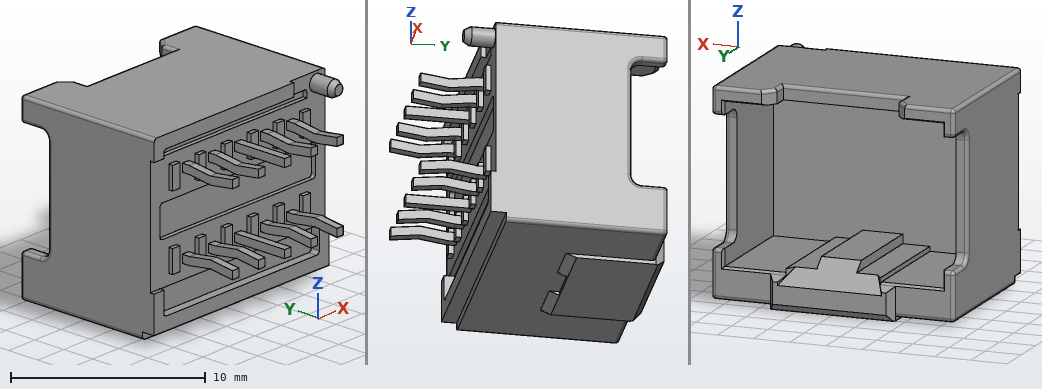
import cadquery as cq
import math


WIDTH = 13.4
HEIGHT = 11.3
FRONT_Y = 9.25
BACK_Y = 0.27
SIDE_WALL = 0.65
TOP_WALL = 0.8
BOTTOM_WALL = 1.74
CAVITY_FLOOR_Y = 2.3
EDGE_RADIUS = 0.2
RIM_RADIUS = 0.198
MOUTH_BEVEL_DEPTH = 0.22
MOUTH_BEVEL_WIDTH = 0.1
TOLERANCE = 0.01

TOP_FOOT_HEIGHT = 1.3
TOP_FOOT_RIGHT_X = 4.0
BOTTOM_FOOT_TOP_Z = 2.75
BOTTOM_STEP_HEIGHT = 0.45
BOTTOM_STEP_Y = 0.8

RECESS_FLOOR_Y = 0.55
RECESS_HALF_WIDTH = 5.95
RECESS_CORNER_RADIUS = 0.2
TOP_RECESS_RIGHT_X = 5.3
TOP_RECESS_HEIGHT = 0.5
MIDDLE_RECESS_HEIGHT = 2.02
BOTTOM_RECESS_HEIGHT = 1.47

SIDE_OPENING_Y = 7.35
SIDE_OPENING_BOTTOM_Z = 2.7
SIDE_OPENING_TOP_Z = 9.78
SIDE_OPENING_RADIUS = 0.55
NOTCH_HALF_WIDTH = 3.36
NOTCH_Y = 7.67
NOTCH_FLARE_Y = 8.55
NOTCH_FLARE = 0.6

PITCH = 2.0
CONTACTS_PER_ROW = 5
ROW_MIDDLE_Z = 6.43
ROW_SPACING = 5.02
PIN_SIZE = 0.5
PIN_LENGTH = 3.2
PIN_STRAIGHT = 0.22
PIN_BEND_Y = -1.67
PIN_BEND_OFFSET = 0.2
RIB_WIDTH = 0.57
RIB_HEIGHT = 1.43
RIB_SPACING = 4.6

PEG_X = 6.0
PEG_Z = HEIGHT - 0.65
PEG_DIAMETER = 1.0
PEG_LENGTH = 1.3
PEG_TIP_LENGTH = 0.35
PEG_TIP_DIAMETER = 0.62

LATCH_HALF_WIDTH = 3.45
LATCH_NOSE_HALF_WIDTH = 3.13
LATCH_NOSE_Y = 9.75
LATCH_NOSE_TOP_Z = 1.37
LATCH_NOSE_BASE_TOP_Z = BOTTOM_WALL - MOUTH_BEVEL_WIDTH
LATCH_NOSE_BOTTOM_Z = 0.18
LATCH_PLATE_DEPTH = 0.2
LATCH_PLATE_FRONT_Y = 9.37
LATCH_PLATE_BACK_Y = 5.1
LATCH_PLATE_RAMP = 0.55
LATCH_PAD_HALF_WIDTH = 2.6
LATCH_PAD_TOP_Z = 2.0
LATCH_RIB_HALF_WIDTH = 1.1
LATCH_RIB_TOP_Y = 8.08
RAMP_NOSE_Z = 1.2
RAMP_TOP_Y = 8.73
RAMP_NOSE_HALF_WIDTH = 2.88
RAMP_TOP_HALF_WIDTH = 2.28


def block(x_min, x_max, y_min, y_max, z_min, z_max):
    size = (x_max - x_min, y_max - y_min, z_max - z_min)
    return cq.Workplane("XY").box(*size, centered=False).translate((x_min, y_min, z_min))


def side_profile(points, half_width):
    """Prism of a (Y, Z) outline, centred on X = 0."""
    return cq.Workplane("YZ").polyline(points).close().extrude(half_width, both=True)


def make_shell():
    half = WIDTH / 2
    shell = block(-half, half, BACK_Y, FRONT_Y, 0, HEIGHT)
    shell = shell.edges("|Y").fillet(EDGE_RADIUS)
    cavity = block(-half + SIDE_WALL, half - SIDE_WALL, CAVITY_FLOOR_Y, FRONT_Y,
                   BOTTOM_WALL, HEIGHT - TOP_WALL)
    bevel_angle = math.degrees(math.atan2(MOUTH_BEVEL_WIDTH, MOUTH_BEVEL_DEPTH))
    mouth = (
        cq.Workplane("XZ", origin=(0, FRONT_Y, (BOTTOM_WALL + HEIGHT - TOP_WALL) / 2))
        .rect(WIDTH - 2 * (SIDE_WALL - MOUTH_BEVEL_WIDTH),
              HEIGHT - TOP_WALL - BOTTOM_WALL + 2 * MOUTH_BEVEL_WIDTH)
        .extrude(MOUTH_BEVEL_DEPTH, taper=bevel_angle)
    )
    side_opening = block(-WIDTH, WIDTH, SIDE_OPENING_Y, 2 * FRONT_Y,
                         SIDE_OPENING_BOTTOM_Z, SIDE_OPENING_TOP_Z)
    side_opening = side_opening.edges("|X and <Y").fillet(SIDE_OPENING_RADIUS)
    flare_half = NOTCH_HALF_WIDTH + NOTCH_FLARE
    notch = (
        cq.Workplane("XY", origin=(0, 0, HEIGHT / 2))
        .polyline([
            (-flare_half, FRONT_Y),
            (-NOTCH_HALF_WIDTH, NOTCH_FLARE_Y),
            (-NOTCH_HALF_WIDTH, NOTCH_Y),
            (NOTCH_HALF_WIDTH, NOTCH_Y),
            (NOTCH_HALF_WIDTH, NOTCH_FLARE_Y),
            (flare_half, FRONT_Y),
        ])
        .close()
        .extrude(HEIGHT)
    )
    shell = shell.cut(cavity).cut(side_opening)
    lip_corners = cq.selectors.BoxSelector(
        (-WIDTH, FRONT_Y - EDGE_RADIUS, SIDE_OPENING_BOTTOM_Z - EDGE_RADIUS),
        (WIDTH, FRONT_Y + EDGE_RADIUS, SIDE_OPENING_TOP_Z + EDGE_RADIUS))
    shell = shell.edges("|X").edges(lip_corners).fillet(EDGE_RADIUS)
    shell = shell.cut(notch)
    return round_outer_rims(shell).cut(mouth)


def round_outer_rims(shell):
    """Round the outer edges of the mating face and of the wall openings."""
    def is_outer_rim(edge):
        box = edge.BoundingBox()
        reaches_back = box.ymin < BACK_Y + TOLERANCE
        on_side = min(abs(box.xmin), abs(box.xmax)) > WIDTH / 2 - TOLERANCE
        on_top = box.zmin > HEIGHT - TOLERANCE
        on_bottom = box.zmax < TOLERANCE
        on_mating_face = box.ymin > FRONT_Y - TOLERANCE
        is_corner_arc = on_mating_face and edge.geomType() == "CIRCLE"
        return not reaches_back and (on_side or on_top or on_bottom or is_corner_arc)

    rims = [edge for edge in shell.edges().vals() if is_outer_rim(edge)]
    return shell.newObject(rims).fillet(RIM_RADIUS)


def make_feet():
    half = WIDTH / 2
    envelope = block(-half, half, 0, BACK_Y, 0, HEIGHT).edges("|Y").fillet(EDGE_RADIUS)
    top_foot = block(-half, TOP_FOOT_RIGHT_X, 0, BACK_Y, HEIGHT - TOP_FOOT_HEIGHT, HEIGHT)
    bottom_foot = block(-half, half, 0, BACK_Y, 0, BOTTOM_FOOT_TOP_Z)
    return envelope.intersect(top_foot.union(bottom_foot))


def make_recesses():
    top_z = HEIGHT - TOP_FOOT_HEIGHT
    top = block(-RECESS_HALF_WIDTH, TOP_RECESS_RIGHT_X, 0, RECESS_FLOOR_Y,
                top_z, top_z + TOP_RECESS_HEIGHT)
    top = top.edges("|Y and >Z").fillet(RECESS_CORNER_RADIUS)
    middle = block(-RECESS_HALF_WIDTH, RECESS_HALF_WIDTH, 0, RECESS_FLOOR_Y,
                   ROW_MIDDLE_Z - MIDDLE_RECESS_HEIGHT / 2,
                   ROW_MIDDLE_Z + MIDDLE_RECESS_HEIGHT / 2)
    middle = middle.edges("|Y").fillet(RECESS_CORNER_RADIUS)
    bottom = block(-RECESS_HALF_WIDTH, RECESS_HALF_WIDTH, 0, RECESS_FLOOR_Y,
                   BOTTOM_FOOT_TOP_Z - BOTTOM_RECESS_HEIGHT, BOTTOM_FOOT_TOP_Z)
    bottom = bottom.edges("|Y and <Z").fillet(RECESS_CORNER_RADIUS)
    return top.union(middle).union(bottom)


def make_bottom_step():
    return block(-WIDTH, WIDTH, -BOTTOM_STEP_Y, BOTTOM_STEP_Y, -HEIGHT, BOTTOM_STEP_HEIGHT)


def make_pin(x, row_side, bent):
    """Solder pin; a bent one kinks toward the middle between the rows."""
    z = ROW_MIDDLE_Z + row_side * ROW_SPACING / 2
    half = PIN_SIZE / 2
    kink = -row_side * PIN_BEND_OFFSET if bent else 0
    path = [(BACK_Y, 0), (-PIN_STRAIGHT, 0), (PIN_BEND_Y, kink), (-PIN_LENGTH, 0)]
    upper = [(y, z + offset + half) for y, offset in path]
    lower = [(y, z + offset - half) for y, offset in reversed(path)]
    return side_profile(upper + lower, half).translate((x, 0, 0))


def make_contacts():
    contacts = cq.Workplane("XY")
    middle = (CONTACTS_PER_ROW - 1) / 2
    for row_side in (-1, 1):
        for index in range(CONTACTS_PER_ROW):
            x = (index - middle) * PITCH
            contacts = contacts.add(make_pin(x, row_side, index != middle))
        rib_z = ROW_MIDDLE_Z + row_side * RIB_SPACING / 2
        for index in range(CONTACTS_PER_ROW + 1):
            x = (index - middle - 0.5) * PITCH
            contacts = contacts.add(block(x - RIB_WIDTH / 2, x + RIB_WIDTH / 2, 0, BACK_Y,
                                          rib_z - RIB_HEIGHT / 2, rib_z + RIB_HEIGHT / 2))
    return contacts.combine()


def make_peg():
    peg = (
        cq.Workplane("XZ", origin=(PEG_X, BACK_Y, PEG_Z))
        .circle(PEG_DIAMETER / 2)
        .extrude(BACK_Y + PEG_LENGTH)
    )
    tip_inset = (PEG_DIAMETER - PEG_TIP_DIAMETER) / 2
    return peg.faces("<Y").chamfer(PEG_TIP_LENGTH, tip_inset)


def ramp_height(y):
    """Height of the latch ramp, which climbs from the nose into the cavity."""
    slope = (LATCH_PAD_TOP_Z - RAMP_NOSE_Z) / (LATCH_NOSE_Y - RAMP_TOP_Y)
    return RAMP_NOSE_Z + slope * (LATCH_NOSE_Y - y)


def symmetric_plan(half_outline, height):
    """Upright prism, mirrored about X = 0, of an (X, Y) half outline."""
    mirrored = [(-x, y) for x, y in reversed(half_outline)]
    return cq.Workplane("XY").polyline(half_outline + mirrored).close().extrude(height, both=True)


def make_latch_nose():
    """Nose ahead of the mating face and the thin plate under the bottom wall."""
    plate_end_y = LATCH_PLATE_BACK_Y - LATCH_PLATE_RAMP
    profile = side_profile([
        (FRONT_Y, LATCH_NOSE_BASE_TOP_Z),
        (LATCH_NOSE_Y, LATCH_NOSE_TOP_Z),
        (LATCH_NOSE_Y, LATCH_NOSE_BOTTOM_Z),
        (LATCH_PLATE_FRONT_Y, -LATCH_PLATE_DEPTH),
        (LATCH_PLATE_BACK_Y, -LATCH_PLATE_DEPTH),
        (plate_end_y, 0),
        (plate_end_y, BOTTOM_WALL / 2),
        (FRONT_Y - EDGE_RADIUS, BOTTOM_WALL / 2),
    ], LATCH_HALF_WIDTH)
    plan = symmetric_plan([
        (LATCH_HALF_WIDTH, 0),
        (LATCH_HALF_WIDTH, FRONT_Y),
        (LATCH_NOSE_HALF_WIDTH, LATCH_NOSE_Y),
    ], HEIGHT)
    plate_slot = block(-LATCH_RIB_HALF_WIDTH, LATCH_RIB_HALF_WIDTH,
                       0, LATCH_PLATE_BACK_Y, -LATCH_PLATE_DEPTH, 0)
    return profile.intersect(plan).cut(plate_slot)


def make_latch_pad():
    return block(-LATCH_PAD_HALF_WIDTH, LATCH_PAD_HALF_WIDTH, CAVITY_FLOOR_Y, FRONT_Y,
                 BOTTOM_WALL / 2, LATCH_PAD_TOP_Z)


def make_ramp_cut():
    """Wedge above the ramp, narrowing into the cavity."""
    wedge = side_profile([
        (LATCH_NOSE_Y, RAMP_NOSE_Z),
        (LATCH_NOSE_Y, LATCH_PAD_TOP_Z),
        (RAMP_TOP_Y, LATCH_PAD_TOP_Z),
    ], RAMP_NOSE_HALF_WIDTH)
    plan = symmetric_plan([
        (RAMP_TOP_HALF_WIDTH, RAMP_TOP_Y),
        (RAMP_NOSE_HALF_WIDTH, LATCH_NOSE_Y),
    ], HEIGHT)
    return wedge.intersect(plan)


def make_latch_rib():
    """Middle rib that carries the ramp on above the pad."""
    top_z = ramp_height(LATCH_RIB_TOP_Y)
    return side_profile([
        (CAVITY_FLOOR_Y, BOTTOM_WALL / 2),
        (RAMP_TOP_Y, BOTTOM_WALL / 2),
        (RAMP_TOP_Y, LATCH_PAD_TOP_Z),
        (LATCH_RIB_TOP_Y, top_z),
        (CAVITY_FLOOR_Y, top_z),
    ], LATCH_RIB_HALF_WIDTH)


result = (
    make_shell()
    .union(make_feet())
    .cut(make_bottom_step())
    .cut(make_recesses())
    .union(make_contacts())
    .union(make_peg())
    .union(make_latch_nose())
    .union(make_latch_pad())
    .cut(make_ramp_cut())
    .union(make_latch_rib())
)